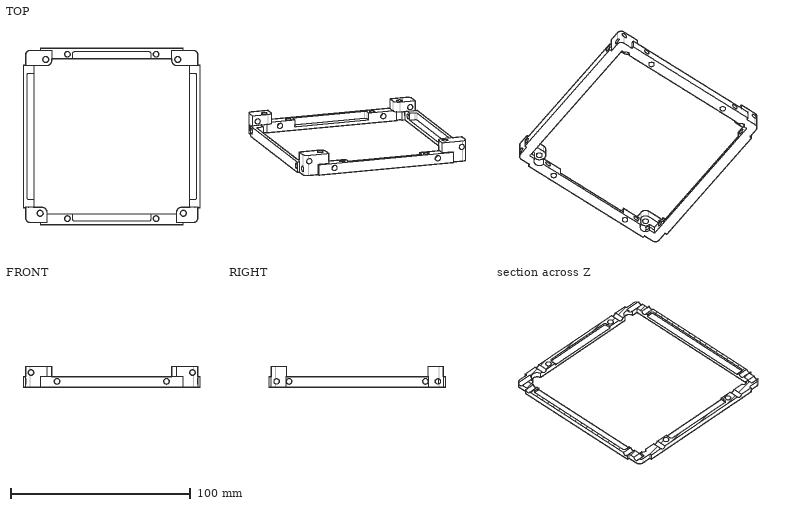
import cadquery as cq

outer_size = 98.4
rail_width = 6.0
rail_height = 6.0
rail_length = 79.6
outer_half = outer_size / 2
inner_half = outer_half - rail_width

corner_inset = 1.2
block_half = outer_half - corner_inset
block_top = 11.7
block_depth = 8.6
front_block_width = 12.0
rear_block_width = 14.6
outer_corner_radius = 2.5
inner_corner_radius = 3.0

pocket_wall = 2.0
pocket_span = outer_size - 2 * pocket_wall
pocket_floor = 2.0
pocket_radius = 1.0
cross_pocket_length = 43.6
side_pocket_length = 70.4

rail_hole_diameter = 3.0
rail_hole_z = 3.4
rail_hole_inset = 3.4
cross_rail_hole_x = 30.5
side_rail_hole_y = 38.0
rail_vertical_hole_x = 24.7

block_side_hole_offset = 45.0
block_upper_hole_z = 8.3
front_blind_depth = 5.0
rear_blind_depth = 9.2
block_hole_diameter = 3.2
front_block_hole_x = 39.9
front_block_hole_y = 42.8
rear_block_hole_x = 36.8
rear_block_hole_y = 42.9
rear_counterbore_diameter = 6.0

SIDES = (-1, 1)


def box(x0, x1, y0, y1, z0, z1):
    """Box between two limits on each axis, given in any order."""
    return (
        cq.Workplane("XY")
        .box(abs(x1 - x0), abs(y1 - y0), z1 - z0)
        .translate(((x0 + x1) / 2, (y0 + y1) / 2, (z0 + z1) / 2))
    )


def cylinder(diameter, start, direction, length):
    """Cylinder that begins at a point and runs along a direction."""
    return cq.Workplane(
        cq.Solid.makeCylinder(diameter / 2, length, cq.Vector(*start), cq.Vector(*direction))
    )


def frame():
    """Low square ring: recessed rounded corners and four rails that stand proud of them."""
    core = cq.Workplane("XY").rect(2 * block_half, 2 * block_half).extrude(rail_height)
    core = core.edges("|Z").fillet(outer_corner_radius)
    rails_x = cq.Workplane("XY").rect(rail_length, outer_size).extrude(rail_height)
    rails_y = cq.Workplane("XY").rect(outer_size, rail_length).extrude(rail_height)
    opening = cq.Workplane("XY").rect(2 * inner_half, 2 * inner_half).extrude(rail_height)
    return core.union(rails_x).union(rails_y).cut(opening)


def corner_block(side_x, side_y, width):
    """Raised block on one corner, rounded at its outermost and innermost edges."""
    block = box(
        side_x * block_half,
        side_x * (block_half - width),
        side_y * block_half,
        side_y * (block_half - block_depth),
        rail_height,
        block_top,
    )
    outer_edge = ">(%d,%d,0)" % (side_x, side_y)
    inner_edge = "<(%d,%d,0)" % (side_x, side_y)
    block = block.edges("|Z").edges(outer_edge).fillet(outer_corner_radius)
    return block.edges("|Z").edges(inner_edge).fillet(inner_corner_radius)


def pocket_pair(size_x, size_y):
    """Round-cornered cutter spanning the frame, which pockets two opposite rails at once."""
    cutter = cq.Workplane("XY").workplane(offset=pocket_floor).rect(size_x, size_y)
    cutter = cutter.extrude(rail_height - pocket_floor)
    return cutter.edges("|Z").fillet(pocket_radius)


def rail_holes(part):
    """Through holes in the rails, sideways and vertical."""
    for side in SIDES:
        cross_start = (side * cross_rail_hole_x, -outer_half, rail_hole_z)
        part = part.cut(cylinder(rail_hole_diameter, cross_start, (0, 1, 0), outer_size))
        side_start = (-outer_half, side * side_rail_hole_y, rail_hole_z)
        part = part.cut(cylinder(rail_hole_diameter, side_start, (1, 0, 0), outer_size))
        for side_y in SIDES:
            start = (side * rail_vertical_hole_x, side_y * (outer_half - rail_hole_inset), 0)
            part = part.cut(cylinder(rail_hole_diameter, start, (0, 0, 1), rail_height))
    return part


def block_vertical_holes(part):
    """Vertical screw holes in the corner blocks, the rear ones widened through the frame below."""
    for side in SIDES:
        front_start = (side * front_block_hole_x, -front_block_hole_y, 0)
        rear_start = (side * rear_block_hole_x, rear_block_hole_y, 0)
        for start in (front_start, rear_start):
            part = part.cut(cylinder(block_hole_diameter, start, (0, 0, 1), block_top))
        part = part.cut(cylinder(rear_counterbore_diameter, rear_start, (0, 0, 1), rail_height))
    return part


def block_side_holes(part):
    """Sideways corner holes: upper ones right through along Y, lower blind ones along X."""
    for side in SIDES:
        upper_start = (side * block_side_hole_offset, -outer_half, block_upper_hole_z)
        part = part.cut(cylinder(rail_hole_diameter, upper_start, (0, 1, 0), outer_size))
        for side_y, depth in ((-1, front_blind_depth), (1, rear_blind_depth)):
            start = (side * block_half, side_y * block_side_hole_offset, rail_hole_z)
            part = part.cut(cylinder(rail_hole_diameter, start, (-side, 0, 0), depth))
    return part


result = frame()
result = result.cut(pocket_pair(cross_pocket_length, pocket_span))
result = result.cut(pocket_pair(pocket_span, side_pocket_length))
for side_x in SIDES:
    result = result.union(corner_block(side_x, -1, front_block_width))
    result = result.union(corner_block(side_x, 1, rear_block_width))
result = rail_holes(result)
result = block_vertical_holes(result)
result = block_side_holes(result)